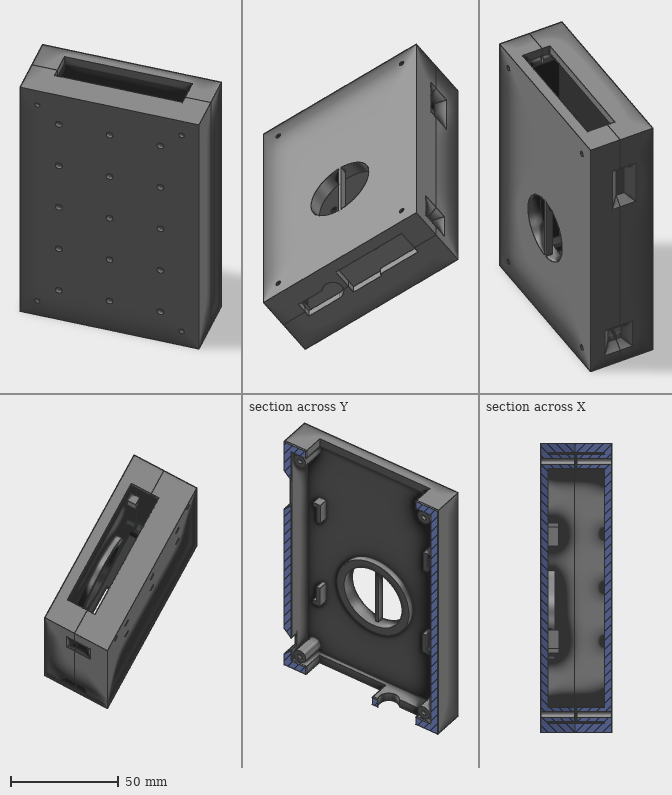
import cadquery as cq

WIDTH = 88.0
DEPTH = 33.2
HEIGHT = 135.0
SPLIT_Y = 0.8

SIDE_WALL = 4.0
PLATE = 3.5
END_WALL = 4.5
SIDE_X = WIDTH / 2
FACE_Y = DEPTH / 2
END_Z = HEIGHT / 2
CAVITY_X = SIDE_X - SIDE_WALL
CAVITY_Y = FACE_Y - PLATE
CAVITY_Z = END_Z - END_WALL

TOP_OPENING_X = 31.5
TOP_OPENING_FRONT_Y = -3.2
TOP_OPENING_BACK_Y = 11.3

BOTTOM_OPENING_BACK_Y = 11.0
BOTTOM_OPENING_FRONT_Y = -2.2
BOTTOM_STEP_X = -9.7
BOTTOM_OPENING_RIGHT_X = 6.5
KEYHOLE_X = 13.9
KEYHOLE_DIAMETER = 10.1
KEYHOLE_SLOT_WIDTH = 8.2

WINDOW_BEVEL = SIDE_WALL
UPPER_WINDOW = {"front": -3.5, "back": 1.0, "bottom": 30.6, "top": 45.9}
LOWER_WINDOW = {"front": -1.8, "back": 5.0, "bottom": -56.8, "top": -49.5}

SCREW_X = 35.5
SCREW_Z = 59.0
SCREW_HOLE_DIAMETER = 2.5
BOSS_DIAMETER = 6.8
BOSS_GAP = 1.1

MOUNT_HOLE_DIAMETER = 3.2
MOUNT_PITCH = 25.0
MOUNT_COLUMNS = 3
MOUNT_ROWS = 5

VENT_Z = -MOUNT_PITCH / 2
VENT_DIAMETER = 33.2
VENT_RIM_DIAMETER = 41.2
VENT_RIM_Y = 9.9
VENT_BAR_WIDTH = 1.5

CLIP_Z = 30.4
CLIP_ARM_X = 4.0
CLIP_ARM_Z = 10.8
CLIP_THICKNESS = 2.0
CLIP_LEFT_X = 29.0
CLIPS = [
    (-1, 1, CLIP_LEFT_X, 8.2),
    (-1, -1, CLIP_LEFT_X, 8.0),
    (1, 1, 30.1, 8.2),
    (1, -1, 29.2, 8.8),
]


def block(x0, x1, y0, y1, z0, z1):
    """Box between two corners."""
    return cq.Workplane("XY").box(x1 - x0, y1 - y0, z1 - z0, centered=False).translate((x0, y0, z0))


def rod(x, z, diameter, y0, y1):
    """Cylinder along Y."""
    return cq.Workplane("XZ", origin=(x, y0, z)).circle(diameter / 2).extrude(y0 - y1)


def screw_rods(diameter, y0, y1):
    """One cylinder along Y at each corner screw."""
    rods = cq.Workplane("XY")
    for x in (-SCREW_X, SCREW_X):
        for z in (-SCREW_Z, SCREW_Z):
            rods = rods.add(rod(x, z, diameter, y0, y1))
    return rods.combine()


def top_opening():
    """Rectangular opening through the top wall."""
    return block(
        -TOP_OPENING_X, TOP_OPENING_X, TOP_OPENING_FRONT_Y, TOP_OPENING_BACK_Y, CAVITY_Z, END_Z
    )


def bottom_openings():
    """Stepped rectangular opening, and a keyhole beside it."""
    front_y = BOTTOM_OPENING_FRONT_Y
    back_y = BOTTOM_OPENING_BACK_Y
    left = block(-TOP_OPENING_X, BOTTOM_STEP_X, front_y, back_y, -END_Z, -CAVITY_Z)
    middle = block(
        BOTTOM_STEP_X, BOTTOM_OPENING_RIGHT_X, TOP_OPENING_FRONT_Y, back_y, -END_Z, -CAVITY_Z
    )
    radius = KEYHOLE_DIAMETER / 2
    keyhole_y = front_y + radius
    hole = cq.Workplane("XY", origin=(KEYHOLE_X, keyhole_y, -END_Z)).circle(radius).extrude(END_WALL)
    slot_back_y = front_y + KEYHOLE_SLOT_WIDTH
    slot = block(KEYHOLE_X, TOP_OPENING_X, front_y, slot_back_y, -END_Z, -CAVITY_Z)
    return left.union(middle).union(hole).union(slot)


def bevelled_window(window):
    """Opening through the left wall that widens outwards on all four sides."""
    y = (window["front"] + window["back"]) / 2
    z = (window["bottom"] + window["top"]) / 2
    inner_y = window["back"] - window["front"]
    inner_z = window["top"] - window["bottom"]
    return (
        cq.Workplane("YZ", origin=(-SIDE_X, y, z))
        .rect(inner_y + 2 * WINDOW_BEVEL, inner_z + 2 * WINDOW_BEVEL)
        .workplane(offset=SIDE_WALL)
        .rect(inner_y, inner_z)
        .loft(ruled=True)
    )


def shell_half(y0, y1):
    """Part of the hollow enclosure between two Y planes, with the openings in its rim."""
    cavity = block(-CAVITY_X, CAVITY_X, -CAVITY_Y, CAVITY_Y, -CAVITY_Z, CAVITY_Z)
    return (
        block(-SIDE_X, SIDE_X, y0, y1, -END_Z, END_Z)
        .cut(cavity)
        .cut(top_opening())
        .cut(bottom_openings())
        .cut(bevelled_window(UPPER_WINDOW))
        .cut(bevelled_window(LOWER_WINDOW))
    )


def corner_clip(side_x, side_z, inner_x, front_y):
    """L-shaped clip; its arms run from the corner outwards along X and towards the middle."""
    outer_x = inner_x + CLIP_ARM_X
    corner_x = inner_x + CLIP_THICKNESS
    inner_z = CLIP_Z - CLIP_ARM_Z
    corner_z = CLIP_Z - CLIP_THICKNESS
    clip = block(inner_x, outer_x, front_y, CAVITY_Y, inner_z, CLIP_Z).cut(
        block(corner_x, outer_x, front_y, CAVITY_Y, inner_z, corner_z)
    )
    if side_x < 0:
        clip = clip.mirror("YZ")
    if side_z < 0:
        clip = clip.mirror("XY")
    return clip


def make_front_shell():
    """Front shell with its screw bosses and grid of mounting holes."""
    mount_holes = (
        cq.Workplane("XZ", origin=(0, -CAVITY_Y, 0))
        .rarray(MOUNT_PITCH, MOUNT_PITCH, MOUNT_COLUMNS, MOUNT_ROWS)
        .circle(MOUNT_HOLE_DIAMETER / 2)
        .extrude(PLATE)
    )
    return (
        shell_half(-FACE_Y, SPLIT_Y)
        .union(screw_rods(BOSS_DIAMETER, -CAVITY_Y, SPLIT_Y - BOSS_GAP))
        .cut(screw_rods(SCREW_HOLE_DIAMETER, -FACE_Y, SPLIT_Y))
        .cut(mount_holes)
    )


def make_back_shell():
    """Back shell with its screw bosses, rimmed vent and corner clips."""
    vent_radius = VENT_DIAMETER / 2
    vent = rod(0, VENT_Z, VENT_DIAMETER, VENT_RIM_Y, FACE_Y)
    bar_x = VENT_BAR_WIDTH / 2
    bar = block(-bar_x, bar_x, CAVITY_Y, FACE_Y, VENT_Z - vent_radius, VENT_Z + vent_radius)
    shell = (
        shell_half(SPLIT_Y, FACE_Y)
        .union(screw_rods(BOSS_DIAMETER, SPLIT_Y, CAVITY_Y))
        .cut(screw_rods(SCREW_HOLE_DIAMETER, SPLIT_Y, FACE_Y))
        .union(rod(0, VENT_Z, VENT_RIM_DIAMETER, VENT_RIM_Y, CAVITY_Y))
        .cut(vent.cut(bar))
    )
    for side_x, side_z, inner_x, front_y in CLIPS:
        shell = shell.union(corner_clip(side_x, side_z, inner_x, front_y))
    return shell


front_shell = make_front_shell()
back_shell = make_back_shell()
result = cq.Compound.makeCompound([front_shell.val(), back_shell.val()])